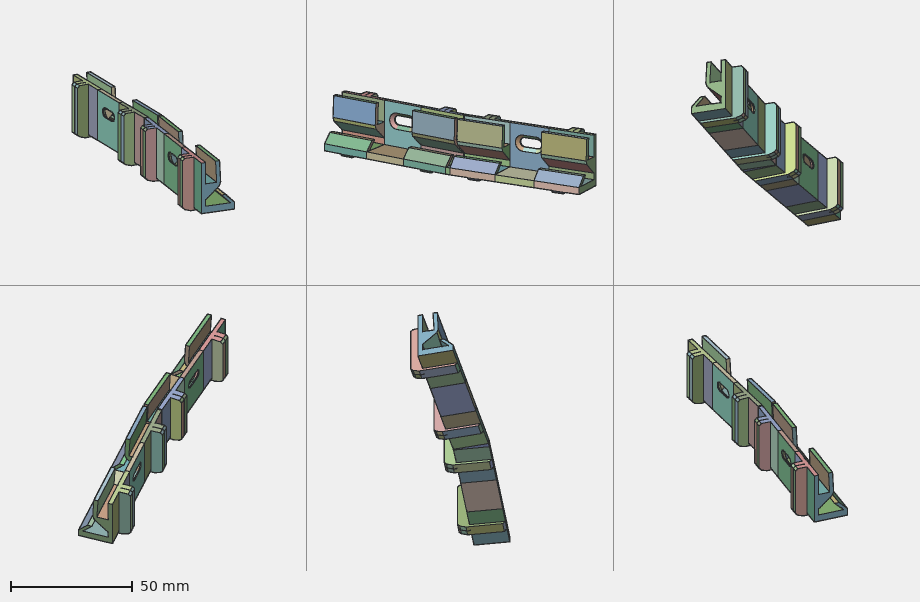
import cadquery as cq
import math

RAIL_LENGTH = 21.0
PLATE_LENGTH = 18.1
WING_LENGTH = 2 * RAIL_LENGTH + PLATE_LENGTH
RIGHT_TILT = 0.25
BEND_ANGLE = 6.0
JOINT_GAP = 0.5

HEIGHT = 22.0
DEPTH = 14.9
WALL = 2.0
FLOOR = 3.0

CHANNEL_FLOOR_Z = 12.8
FAR_SIDE_THICKNESS = 1.8
FAR_SIDE_TOP_Y = 6.3
FAR_SIDE_LEAN = 0.5
BEVEL_END_Y = 8.0
BEVEL_END_Z = 11.1
UNDERSIDE_Z = 5.8

LIP_TOP_Z = 7.0
LIP_RISE = LIP_TOP_Z - FLOOR
LIP_THICKNESS = 2.0

RIB_WIDTH = 5.0
RIB_REACH = 5.0
RIB_CHAMFER = 1.0
RIB_BEVEL_Z = -0.2
FOOT_DROP = 1.1
FOOT_START_Y = -1.5
SLIT_WIDTH = 0.06

SLOT_LENGTH = 10.0
SLOT_HEIGHT = 4.0
SLOT_Z = 14.0
COUNTERSINK = 1.5


def extrude_section(points, start, length):
    """Extrude a closed Y-Z outline along X."""
    return cq.Workplane("YZ", origin=(start, 0, 0)).polyline(points).close().extrude(length)


def l_section():
    """Outline of the wall standing on the front edge of the floor."""
    return [(0, 0), (DEPTH, 0), (DEPTH, FLOOR), (WALL, FLOOR), (WALL, HEIGHT), (0, HEIGHT)]


def rail_section():
    """L outline with the channel on the wall and the lip on the floor."""
    far_side_bottom_y = FAR_SIDE_TOP_Y + FAR_SIDE_LEAN
    return [
        (0, 0),
        (DEPTH, 0),
        (DEPTH, FLOOR),
        (DEPTH - LIP_RISE, LIP_TOP_Z),
        (DEPTH - LIP_RISE - LIP_THICKNESS, LIP_TOP_Z),
        (DEPTH - LIP_THICKNESS, FLOOR),
        (WALL, FLOOR),
        (WALL, UNDERSIDE_Z),
        (BEVEL_END_Y, BEVEL_END_Z),
        (far_side_bottom_y + FAR_SIDE_THICKNESS, CHANNEL_FLOOR_Z),
        (FAR_SIDE_TOP_Y + FAR_SIDE_THICKNESS, HEIGHT),
        (FAR_SIDE_TOP_Y, HEIGHT),
        (far_side_bottom_y, CHANNEL_FLOOR_Z),
        (WALL, CHANNEL_FLOOR_Z),
        (WALL, HEIGHT),
        (0, HEIGHT),
    ]


def rib_section():
    """Outline of the chamfered rib and its foot, meeting the wall's front face and the floor's underside."""
    return [
        (0, HEIGHT),
        (RIB_CHAMFER - RIB_REACH, HEIGHT),
        (-RIB_REACH, HEIGHT - RIB_CHAMFER),
        (-RIB_REACH, RIB_BEVEL_Z + RIB_CHAMFER),
        (RIB_CHAMFER - RIB_REACH, RIB_BEVEL_Z),
        (FOOT_START_Y, -FOOT_DROP),
        (DEPTH - FOOT_DROP, -FOOT_DROP),
        (DEPTH, 0),
        (0, 0),
    ]


def make_rail(start):
    """Channel rail with a slit rib and foot at mid-length."""
    middle = start + RAIL_LENGTH / 2
    rib = extrude_section(rib_section(), middle - RIB_WIDTH / 2, RIB_WIDTH)
    slit = (
        cq.Workplane("XY", origin=(middle, -RIB_REACH / 2, -FOOT_DROP))
        .rect(SLIT_WIDTH, RIB_REACH)
        .extrude(HEIGHT + FOOT_DROP)
    )
    return extrude_section(rail_section(), start, RAIL_LENGTH).union(rib).cut(slit)


def make_plate():
    """Plain L-shaped plate with a slot through its wall, countersunk from the back."""
    slot = (
        cq.Workplane("XZ", origin=(WING_LENGTH / 2, 0, SLOT_Z))
        .slot2D(SLOT_LENGTH, SLOT_HEIGHT)
        .extrude(-WALL)
    )
    countersink = (
        cq.Workplane("XZ", origin=(WING_LENGTH / 2, WALL, SLOT_Z))
        .slot2D(SLOT_LENGTH + 2 * COUNTERSINK, SLOT_HEIGHT + 2 * COUNTERSINK)
        .extrude(COUNTERSINK, taper=45)
    )
    return extrude_section(l_section(), RAIL_LENGTH, PLATE_LENGTH).cut(slot).cut(countersink)


def make_wing():
    """Rail, plate and rail placed end to end."""
    return [make_rail(0), make_plate(), make_rail(RAIL_LENGTH + PLATE_LENGTH)]


def across(angle, distance):
    """Offset of a point that lies the given distance behind the front face of a tilted wing."""
    return (-distance * math.sin(math.radians(angle)), distance * math.cos(math.radians(angle)))


def make_joint(left_angle, right_angle):
    """L-shaped wedge that fills the bend between the wings."""

    def wedge(depth, height):
        left_back = across(left_angle, depth)
        right_back = across(right_angle, depth)
        outline = [(0, 0), (JOINT_GAP, 0), (JOINT_GAP + right_back[0], right_back[1]), left_back]
        return cq.Workplane("XY").polyline(outline).close().extrude(height)

    return wedge(DEPTH, FLOOR).union(wedge(WALL, HEIGHT))


left_tilt = RIGHT_TILT + BEND_ANGLE
bodies = []
for body in make_wing():
    left_body = body.translate((-WING_LENGTH, 0, 0)).rotate((0, 0, 0), (0, 0, 1), left_tilt)
    right_body = body.rotate((0, 0, 0), (0, 0, 1), RIGHT_TILT).translate((JOINT_GAP, 0, 0))
    bodies += [left_body.val(), right_body.val()]

joint = make_joint(left_tilt, RIGHT_TILT)
result = cq.Compound.makeCompound([*bodies, joint.val()])